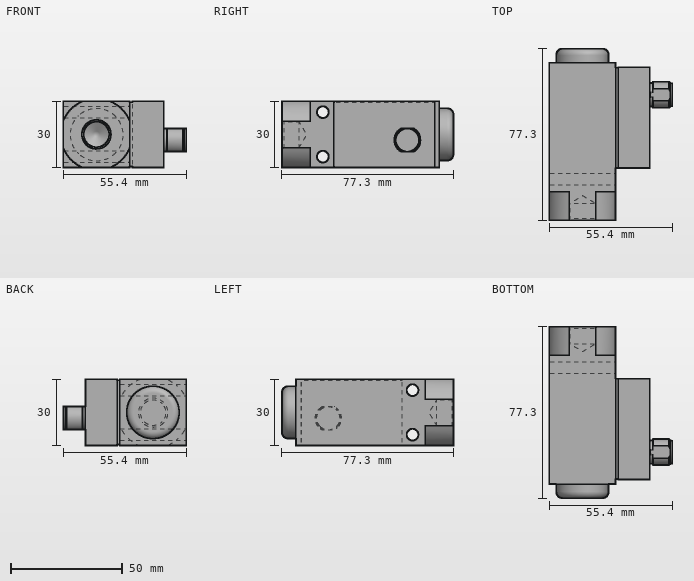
import cadquery as cq
import math

total_length = 77.3
total_width = 55.4

body_size = 30.0
half_body = body_size / 2
body_end = 71.0
neck_length = 12.8
neck_flat_width = 12.0
neck_radius = math.hypot(half_body, neck_flat_width / 2)

cap_diameter = 23.65
cap_fillet = 2.9

port_mouth_diameter = 13.15
port_diameter = 11.45
port_depth = 7.7
port_tip_angle = 118.0

mount_hole_diameter = 5.2
mount_hole_spacing = 20.0
mount_hole_y = 18.5

gasket_thickness = 1.15
gasket_inset = 0.5
gasket_rear_inset = 0.2
cover_front = 23.4
cover_length = 45.45
cover_thickness = 14.2
cover_inner_x = half_body + gasket_thickness
cover_outer_x = cover_inner_x + cover_thickness

connector_y = 56.5
connector_z = -2.55
collar_diameter = 10.7
collar_length = 1.15
relief_length = 0.5
relief_diameter = 10.4
nut_diameter = 11.8
nut_flats = 10.4
nut_chamfer = 0.2
nut_length = 7.3
nut_taper = 0.7
nut_taper_end_diameter = 10.8
end_ring_diameter = 10.4
connector_end_x = total_width - half_body


def make_body():
    """Square block whose front neck is rounded at its four edges."""
    block = (
        cq.Workplane("XZ", origin=(0, neck_length, 0))
        .rect(body_size, body_size)
        .extrude(neck_length - body_end)
    )
    square_neck = cq.Workplane("XZ").rect(body_size, body_size).extrude(-neck_length)
    round_neck = cq.Workplane("XZ").circle(neck_radius).extrude(-neck_length)
    return block.union(square_neck.intersect(round_neck))


def make_cap():
    """Cap with a rounded rear rim."""
    return (
        cq.Workplane("XZ", origin=(0, body_end, 0))
        .circle(cap_diameter / 2)
        .extrude(body_end - total_length)
        .faces(">Y")
        .edges()
        .fillet(cap_fillet)
    )


def make_port():
    """Port with a countersunk mouth and a conical bottom, revolved about Y."""
    mouth_radius = port_mouth_diameter / 2
    radius = port_diameter / 2
    tip_depth = radius / math.tan(math.radians(port_tip_angle / 2))
    return (
        cq.Workplane("XY")
        .moveTo(0, 0)
        .lineTo(mouth_radius, 0)
        .lineTo(radius, mouth_radius - radius)
        .lineTo(radius, port_depth)
        .lineTo(0, port_depth + tip_depth)
        .close()
        .revolve(360, (0, 0, 0), (0, 1, 0))
    )


def make_mount_holes():
    """Two through holes along X, one above the other."""
    return (
        cq.Workplane("YZ", origin=(-half_body, mount_hole_y, 0))
        .pushPoints([(0, -mount_hole_spacing / 2), (0, mount_hole_spacing / 2)])
        .circle(mount_hole_diameter / 2)
        .extrude(body_size)
    )


def make_side_plate(start_x, thickness, length, height):
    """Plate beside the body, starting at the front of the cover."""
    return (
        cq.Workplane("YZ", origin=(start_x, cover_front + length / 2, 0))
        .rect(length, height)
        .extrude(thickness)
    )


def make_gasket():
    """Gasket flush with the cover in front and set back behind, above and below."""
    length = cover_length - gasket_rear_inset
    height = body_size - 2 * gasket_inset
    return make_side_plate(half_body, gasket_thickness, length, height)


def make_cover():
    """Cover as high as the body."""
    return make_side_plate(cover_inner_x, cover_thickness, cover_length, body_size)


def make_connector():
    """Turned connector along X with two flats, facing up and down."""
    nut_start_x = cover_outer_x + collar_length
    nut_end_x = nut_start_x + nut_length
    ring_start_x = nut_end_x + nut_taper
    collar_start_x = cover_outer_x + relief_length
    nut_radius = nut_diameter / 2
    turned = (
        cq.Workplane("XY")
        .moveTo(cover_outer_x, 0)
        .lineTo(cover_outer_x, relief_diameter / 2)
        .lineTo(collar_start_x, collar_diameter / 2)
        .lineTo(nut_start_x, collar_diameter / 2)
        .lineTo(nut_start_x, nut_radius - nut_chamfer)
        .lineTo(nut_start_x + nut_chamfer, nut_radius)
        .lineTo(nut_end_x, nut_radius)
        .lineTo(ring_start_x, nut_taper_end_diameter / 2)
        .lineTo(ring_start_x, end_ring_diameter / 2)
        .lineTo(connector_end_x, end_ring_diameter / 2)
        .lineTo(connector_end_x, 0)
        .close()
        .revolve(360, (0, 0, 0), (1, 0, 0))
    )
    flats = (
        cq.Workplane("YZ", origin=(cover_outer_x, 0, 0))
        .rect(nut_diameter, nut_flats)
        .extrude(connector_end_x - cover_outer_x)
    )
    return turned.intersect(flats).translate((0, connector_y, connector_z))


result = (
    make_body()
    .union(make_cap())
    .cut(make_port())
    .cut(make_mount_holes())
    .union(make_gasket())
    .union(make_cover())
    .union(make_connector())
)